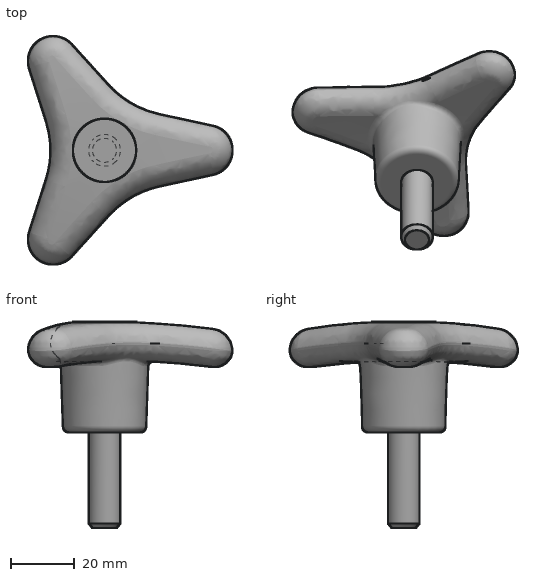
import cadquery as cq
import math

arm_count = 3
handle_span = 71.7
tip_diameter = 15.85
valley_radius = 30.0
valley_depth = 17.0

crown_z = 34.8
crown_radius = 258.1
upper_height = 6.1
lower_height = 5.95
draft_angle = 8.0
upper_round = 7.0
lower_round = 5.75

cap_diameter = 19.9
cap_rise = 0.1
cap_bevel = 0.1
cap_thickness = 1.4

hub_seat_diameter = 26.1
hub_top_diameter = 27.7
hub_top_z = 23.65
hub_edge_round = 2.0
hub_blend_radius = 1.6

stud_diameter = 10.0
stud_length = 30.0
stud_chamfer_height = 1.5
stud_chamfer_run = 1.2

tip_distance = (handle_span - tip_diameter) / math.sqrt(3)
valley_distance = valley_depth + valley_radius
arm_step = 360 / arm_count
parting_z = crown_z - upper_height
underside_z = parting_z - lower_height
draft_slope = math.tan(math.radians(draft_angle))


def polar(distance, angle, center=(0, 0)):
    """Point at a distance from a center, angle in degrees from +X."""
    turn = math.radians(angle)
    return (center[0] + distance * math.cos(turn), center[1] + distance * math.sin(turn))


def handle_outline(inset):
    """Round tips joined by concave valleys, all tangent, drawn in by an inset."""
    tip_radius = tip_diameter / 2 - inset
    hollow_radius = valley_radius + inset
    half_step = arm_step / 2

    tip = polar(tip_distance, 0)
    hollow = polar(valley_distance, half_step)
    dx = hollow[0] - tip[0]
    dy = hollow[1] - tip[1]
    tangent_turn = math.acos((tip_radius + hollow_radius) / math.hypot(dx, dy))
    side_angle = math.degrees(math.atan2(dy, dx) - tangent_turn)

    outline = cq.Workplane("XY").moveTo(*polar(tip_radius, -side_angle, tip))
    for index in range(arm_count):
        turn = index * arm_step
        next_turn = turn + arm_step
        tip = polar(tip_distance, turn)
        next_tip = polar(tip_distance, next_turn)
        hollow = polar(valley_distance, turn + half_step)
        tip_nose = polar(tip_distance + tip_radius, turn)
        tip_end = polar(tip_radius, turn + side_angle, tip)
        hollow_start = polar(hollow_radius, turn + side_angle + 180, hollow)
        hollow_middle = polar(valley_distance - hollow_radius, turn + half_step)
        hollow_end = polar(hollow_radius, next_turn - side_angle + 180, hollow)
        next_tip_start = polar(tip_radius, next_turn - side_angle, next_tip)
        outline = (
            outline.threePointArc(tip_nose, tip_end)
            .lineTo(*hollow_start)
            .threePointArc(hollow_middle, hollow_end)
            .lineTo(*next_tip_start)
        )
    return outline.close()


def domed_face(inset, peak_z):
    """Inset handle outline as a face on a dome that peaks on the axis."""
    ball = cq.Workplane("XY").sphere(crown_radius).rotate((0, 0, 0), (1, 0, 0), 90)
    dome = ball.translate((0, 0, peak_z - crown_radius))
    prism = handle_outline(inset).extrude(peak_z + 0.7)
    return prism.intersect(dome).faces("%SPHERE").val()


def ruled_walls(lower_face, upper_face):
    """Straight-ruled walls between the matching edges of two domed faces."""
    walls = []
    for edge in lower_face.Edges():
        center = edge.Center()
        match = min(upper_face.Edges(), key=lambda other: (other.Center() - center).Length)
        walls.append(cq.Face.makeRuledSurface(edge, match))
    return walls


def handle():
    underside = domed_face(lower_height * draft_slope, underside_z)
    parting = domed_face(0, parting_z)
    crown = domed_face(upper_height * draft_slope, crown_z)
    walls = ruled_walls(underside, parting) + ruled_walls(parting, crown)
    shell = cq.Shell.makeShell([underside, crown] + walls)
    body = cq.Workplane(cq.Solid.makeSolid(shell))
    for peak_z, radius in ((underside_z, lower_round), (crown_z, upper_round)):
        nearest = cq.selectors.NearestToPointSelector((0, 0, peak_z))
        body = body.faces("%SPHERE").faces(nearest).edges().fillet(radius)
    return body


def hub():
    return (
        cq.Workplane("XY")
        .circle(hub_seat_diameter / 2)
        .workplane(offset=hub_top_z)
        .circle(hub_top_diameter / 2)
        .loft()
        .faces("<Z")
        .edges()
        .fillet(hub_edge_round)
    )


def handle_on_hub():
    """Handle and hub joined, with a blend along the line where they meet."""
    reach = hub_top_diameter / 2 + 0.7
    around_joint = cq.selectors.BoxSelector(
        (-reach, -reach, underside_z - hub_blend_radius),
        (reach, reach, hub_top_z),
    )
    return handle().union(hub()).edges(around_joint).fillet(hub_blend_radius)


def cap():
    return (
        cq.Workplane("XY", origin=(0, 0, crown_z + cap_rise - cap_thickness))
        .circle(cap_diameter / 2)
        .extrude(cap_thickness)
        .faces(">Z")
        .chamfer(cap_bevel)
    )


def stud():
    return (
        cq.Workplane("XY")
        .circle(stud_diameter / 2)
        .extrude(-stud_length)
        .faces("<Z")
        .chamfer(stud_chamfer_height, stud_chamfer_run)
    )


result = handle_on_hub().union(cap()).union(stud())